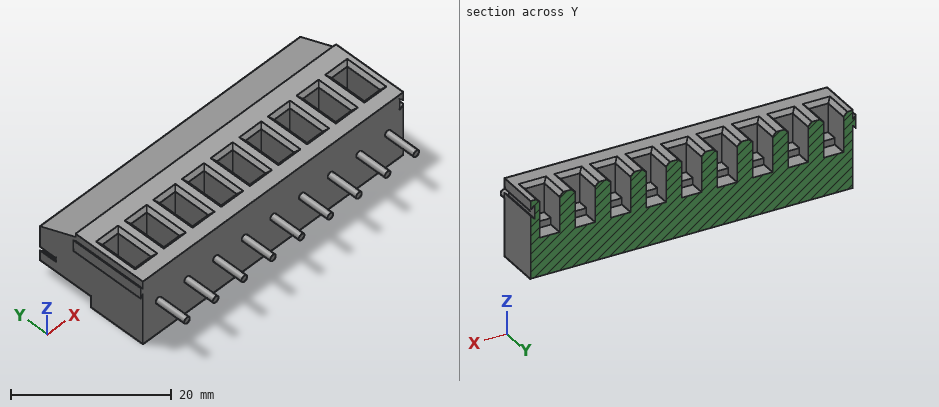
import cadquery as cq

pole_count = 9
pole_pitch = 5.05
overall_length = 46.95
tongue_height = 0.4
body_length = overall_length - 2 * tongue_height
body_depth = 18.02
body_height = 11.2

deck_depth = 11.8
shoulder_lip = 0.55
slope_drop = 2.65
front_foot_depth = 9.1
rear_foot_height = 1.95

pin_diameter = 1.05
pin_length = 4.98
pin_drop = 5.35

pocket_width = 3.9
pocket_length = 6.85
pocket_front_wall = 2.15
pocket_chamfer = 0.55
chamfer_angle = 45
pocket_floor_drop = 5.65
ledge_drop = 4.7
ledge_depth = 1.7

dovetail_width = 1.9
groove_depth = 0.6
upper_dovetail_drop = 1.8
lower_dovetail_drop = 7.2
lower_dovetail_length = 2.8

half_length = body_length / 2
pole_positions = [(i - (pole_count - 1) / 2) * pole_pitch for i in range(pole_count)]


def housing():
    shoulder_z = body_height - shoulder_lip
    profile = [
        (0, 0),
        (0, body_height),
        (deck_depth, body_height),
        (deck_depth, shoulder_z),
        (body_depth, shoulder_z - slope_drop),
        (body_depth, rear_foot_height),
        (front_foot_depth, rear_foot_height),
        (front_foot_depth, 0),
    ]
    return cq.Workplane("YZ").polyline(profile).close().extrude(half_length, both=True)


def box_between(x_center, width, y_start, y_end, z_bottom, z_top):
    return (
        cq.Workplane("XY")
        .box(width, y_end - y_start, z_top - z_bottom, centered=(True, False, False))
        .translate((x_center, y_start, z_bottom))
    )


def screw_pocket(x_center):
    """Rectangular pocket with a chamfered mouth and a shallower ledge along its front wall."""
    shaft_width = pocket_width - 2 * pocket_chamfer
    shaft_front = pocket_front_wall + pocket_chamfer
    shaft_back = pocket_front_wall + pocket_length - pocket_chamfer
    ledge_back = shaft_front + ledge_depth
    ledge_z = body_height - ledge_drop
    floor_z = body_height - pocket_floor_drop

    mouth = (
        cq.Workplane("XY", origin=(x_center, pocket_front_wall + pocket_length / 2, body_height))
        .rect(pocket_width, pocket_length)
        .extrude(-pocket_chamfer, taper=chamfer_angle)
    )
    shaft = box_between(x_center, shaft_width, shaft_front, shaft_back, ledge_z, body_height)
    deep_part = box_between(x_center, shaft_width, ledge_back, shaft_back, floor_z, body_height)
    return mouth.union(shaft).union(deep_part)


def solder_pin(x_center):
    return (
        cq.Workplane("XZ", origin=(x_center, 0, body_height - pin_drop))
        .circle(pin_diameter / 2)
        .extrude(pin_length)
    )


def dovetail(x_narrow, height, drop, y_start, y_end):
    """Bar along Y that flares at 45 degrees toward +X from its narrow side."""
    z_center = body_height - drop
    wide = dovetail_width / 2
    narrow = wide - height
    return (
        cq.Workplane("XZ", origin=(0, y_start, 0))
        .moveTo(x_narrow, z_center - narrow)
        .lineTo(x_narrow + height, z_center - wide)
        .lineTo(x_narrow + height, z_center + wide)
        .lineTo(x_narrow, z_center + narrow)
        .close()
        .extrude(y_start - y_end)
    )


def add_dovetail_pair(body, tongue_side, drop, y_start, y_end):
    """Tongue on one end face (+1 or -1 along X), matching groove on the opposite end."""
    tongue = dovetail(half_length, tongue_height, drop, y_start, y_end)
    groove = dovetail(-half_length, groove_depth, drop, y_start, y_end)
    if tongue_side < 0:
        tongue = tongue.mirror("YZ")
        groove = groove.mirror("YZ")
    return body.union(tongue).cut(groove)


result = housing()
for x_pole in pole_positions:
    result = result.cut(screw_pocket(x_pole)).union(solder_pin(x_pole))
result = add_dovetail_pair(result, -1, upper_dovetail_drop, 0, deck_depth)
result = add_dovetail_pair(
    result, 1, lower_dovetail_drop, body_depth - lower_dovetail_length, body_depth
)